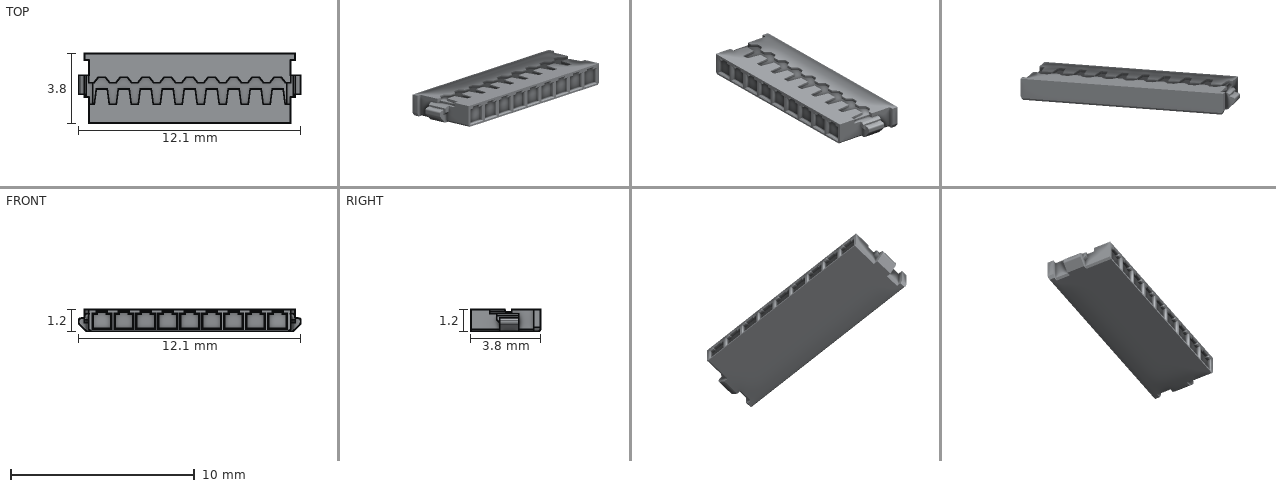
import cadquery as cq

LENGTH = 12.1
DEPTH = 3.8
HEIGHT = 1.2

BODY_HALF = 5.49
EDGE_BEVEL_RUN = 0.11
EDGE_BEVEL_RISE = 0.11
BACK_BEVEL_RUN = 0.07

FLANGE_HALF = 5.75
FLANGE_DEPTH = 0.36
FLANGE_BEVEL_RUN = 0.11
FLANGE_BEVEL_RISE = 0.2

CONTACTS = 9
PITCH = 1.2

CAVITY_WIDTH = 1.06
CAVITY_BOTTOM = 0.1
CAVITY_TOP = 0.98
CAVITY_DEPTH = 0.22
NOTCH_WIDTH = 0.62
NOTCH_TOP = 1.09
MOUTH_BEVEL = 0.055

CHANNEL_DEPTH = 0.15
WAVE_CREST_Y = 2.5
WAVE_VALLEY_Y = 2.21
WAVE_CREST_WIDTH = 0.38
WAVE_BASE_WIDTH = 0.85
TOOTH_TIP_Y = 1.89
TOOTH_TIP_LEAN = 0.04
TOOTH_ROOT_Y = 1.02
TOOTH_TIP_WIDTH = 0.59
TOOTH_BASE_WIDTH = 0.81
TOOTH_ROOT_CHAMFER = 0.02

STEP_HALF = 5.28
STEP_Z = 0.94

LATCH_BACK_Y = 2.61
BLOCK_FRONT_Y = 1.42
BLOCK_BEVEL = 0.1
BLOCK_UNDERCUT_Z = 0.62
LUG_FRONT_Y = 1.56
LUG_INNER_TOP_Z = 0.75
LUG_OUTER_TOP_Z = 0.69
LUG_OUTER_BOTTOM_Z = 0.41
LUG_ROUND = 0.11


def box(x0, x1, y0, y1, z0, z1):
    return cq.Workplane("XY").box(x1 - x0, y1 - y0, z1 - z0, centered=False).translate((x0, y0, z0))


def mirrored_pair(right_side):
    return right_side.union(right_side.mirror("YZ"))


CONTACT_X = [(i - (CONTACTS - 1) / 2) * PITCH for i in range(CONTACTS)]


def beveled_slab(half_width, depth, bevel_run, bevel_rise):
    """Slab ending at the back face, with its lower side edges beveled."""
    outline = [
        (-half_width + bevel_run, 0),
        (half_width - bevel_run, 0),
        (half_width, bevel_rise),
        (half_width, HEIGHT),
        (-half_width, HEIGHT),
        (-half_width, bevel_rise),
    ]
    slab = cq.Workplane("XZ").polyline(outline).close().extrude(-depth)
    return slab.translate((0, DEPTH - depth, 0))


def housing():
    body = beveled_slab(BODY_HALF, DEPTH, EDGE_BEVEL_RUN, EDGE_BEVEL_RISE)
    flange = beveled_slab(FLANGE_HALF, FLANGE_DEPTH, FLANGE_BEVEL_RUN, FLANGE_BEVEL_RISE)
    back_bevel = [
        (DEPTH - BACK_BEVEL_RUN, 0),
        (DEPTH, 0),
        (DEPTH, EDGE_BEVEL_RISE),
    ]
    wedge = cq.Workplane("YZ").polyline(back_bevel).close().extrude(FLANGE_HALF, both=True)
    return body.union(flange).cut(wedge)


def latch():
    """Latch on the +X side."""
    block_outline = [
        (LUG_FRONT_Y, 0),
        (LATCH_BACK_Y, 0),
        (LATCH_BACK_Y, STEP_Z),
        (BLOCK_FRONT_Y, STEP_Z),
        (BLOCK_FRONT_Y, BLOCK_UNDERCUT_Z),
        (LUG_FRONT_Y, BLOCK_UNDERCUT_Z - (LUG_FRONT_Y - BLOCK_FRONT_Y)),
    ]
    block = cq.Workplane("YZ").polyline(block_outline).close().extrude(FLANGE_HALF - STEP_HALF)
    block = block.translate((STEP_HALF, 0, 0))
    block = block.edges("|Y and >X and >Z").chamfer(BLOCK_BEVEL)

    lug_outline = [
        (STEP_HALF, 0),
        (LENGTH / 2, 0),
        (LENGTH / 2, LUG_OUTER_TOP_Z),
        (FLANGE_HALF, LUG_INNER_TOP_Z),
        (STEP_HALF, LUG_INNER_TOP_Z),
    ]
    lug = cq.Workplane("XZ").polyline(lug_outline).close().extrude(LUG_FRONT_Y - LATCH_BACK_Y)
    lug = lug.translate((0, LUG_FRONT_Y, 0))
    hooked = block.union(lug)

    hooked = hooked.edges("|Y and >X and <Z").chamfer(LUG_OUTER_BOTTOM_Z)
    return hooked.edges("|Y and >X").fillet(LUG_ROUND)


def channel():
    """Cutter for the channel between the waves and the teeth."""
    floor = HEIGHT - CHANNEL_DEPTH
    cutter = box(-BODY_HALF, BODY_HALF, TOOTH_ROOT_Y, WAVE_VALLEY_Y, floor, HEIGHT)
    for x in CONTACT_X:
        wave = [
            (x - WAVE_BASE_WIDTH / 2, WAVE_VALLEY_Y),
            (x - WAVE_CREST_WIDTH / 2, WAVE_CREST_Y),
            (x + WAVE_CREST_WIDTH / 2, WAVE_CREST_Y),
            (x + WAVE_BASE_WIDTH / 2, WAVE_VALLEY_Y),
        ]
        wave_cut = cq.Workplane("XY").workplane(offset=floor).polyline(wave).close()
        cutter = cutter.union(wave_cut.extrude(CHANNEL_DEPTH))
    for x in CONTACT_X:
        tooth = [
            (x - TOOTH_BASE_WIDTH / 2 - TOOTH_ROOT_CHAMFER, TOOTH_ROOT_Y),
            (x - TOOTH_BASE_WIDTH / 2, TOOTH_ROOT_Y + TOOTH_ROOT_CHAMFER),
            (x - TOOTH_TIP_WIDTH / 2, TOOTH_TIP_Y),
            (x + TOOTH_TIP_WIDTH / 2, TOOTH_TIP_Y),
            (x + TOOTH_BASE_WIDTH / 2, TOOTH_ROOT_Y + TOOTH_ROOT_CHAMFER),
            (x + TOOTH_BASE_WIDTH / 2 + TOOTH_ROOT_CHAMFER, TOOTH_ROOT_Y),
        ]
        tooth_keep = cq.Workplane("XY").workplane(offset=floor).polyline(tooth).close()
        cutter = cutter.cut(tooth_keep.extrude(CHANNEL_DEPTH))

    tip_slope = [
        (TOOTH_TIP_Y, floor),
        (TOOTH_TIP_Y, HEIGHT),
        (TOOTH_TIP_Y - TOOTH_TIP_LEAN, HEIGHT),
    ]
    cutter = cutter.union(cq.Workplane("YZ").polyline(tip_slope).close().extrude(STEP_HALF, both=True))

    end_step = box(STEP_HALF, FLANGE_HALF, TOOTH_ROOT_Y, WAVE_VALLEY_Y, STEP_Z, HEIGHT)
    return cutter.union(mirrored_pair(end_step))


def cavity_outline(y, inset):
    """Cavity outline at depth y, shrunk evenly by the inset."""
    half = CAVITY_WIDTH / 2 - inset
    notch_half = NOTCH_WIDTH / 2 - inset
    bottom = CAVITY_BOTTOM + inset
    shoulder = CAVITY_TOP - inset
    top = NOTCH_TOP - inset
    outline = [
        (-half, bottom),
        (half, bottom),
        (half, shoulder),
        (notch_half, shoulder),
        (notch_half, top),
        (-notch_half, top),
        (-notch_half, shoulder),
        (-half, shoulder),
    ]
    return cq.Workplane("XZ", origin=(0, y, 0)).polyline(outline).close()


def cavity():
    """Cutter for one front cavity centred on X = 0, with a beveled mouth."""
    outer_wire = cavity_outline(0, 0).wires().val()
    inner_wire = cavity_outline(MOUTH_BEVEL, MOUTH_BEVEL).wires().val()
    ruled = True
    mouth = cq.Workplane(cq.Solid.makeLoft([outer_wire, inner_wire], ruled))
    pocket = cavity_outline(0, MOUTH_BEVEL).extrude(-CAVITY_DEPTH)
    return pocket.union(mouth)


result = housing().union(mirrored_pair(latch())).cut(channel())
one_cavity = cavity()
for contact_x in CONTACT_X:
    result = result.cut(one_cavity.translate((contact_x, 0, 0)))